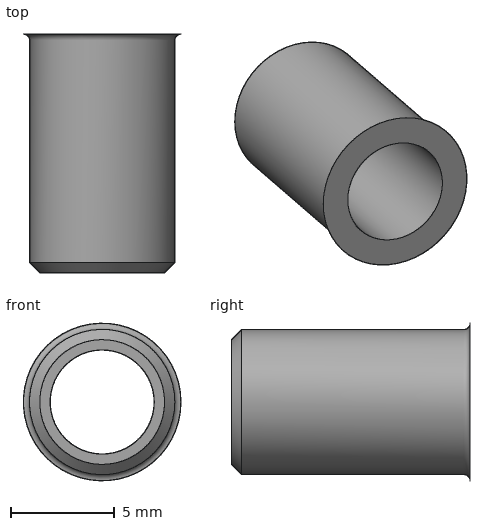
import cadquery as cq
import math

length = 11.5
flare_diameter = 7.6
body_diameter = 7.0
bore_diameter = 5.0
chamfer = 0.5

flare_radius = flare_diameter / 2
body_radius = body_diameter / 2
bore_radius = bore_diameter / 2

fillet_radius = flare_radius - body_radius
fillet_start = length - fillet_radius
arc_offset = fillet_radius * math.sin(math.radians(45))
arc_middle = (flare_radius - arc_offset, fillet_start + arc_offset)

half_section = (
    cq.Workplane("XY")
    .moveTo(bore_radius, 0)
    .lineTo(body_radius - chamfer, 0)
    .lineTo(body_radius, chamfer)
    .lineTo(body_radius, fillet_start)
    .threePointArc(arc_middle, (flare_radius, length))
    .lineTo(bore_radius, length)
    .close()
)

result = half_section.revolve(360, (0, 0, 0), (0, 1, 0))